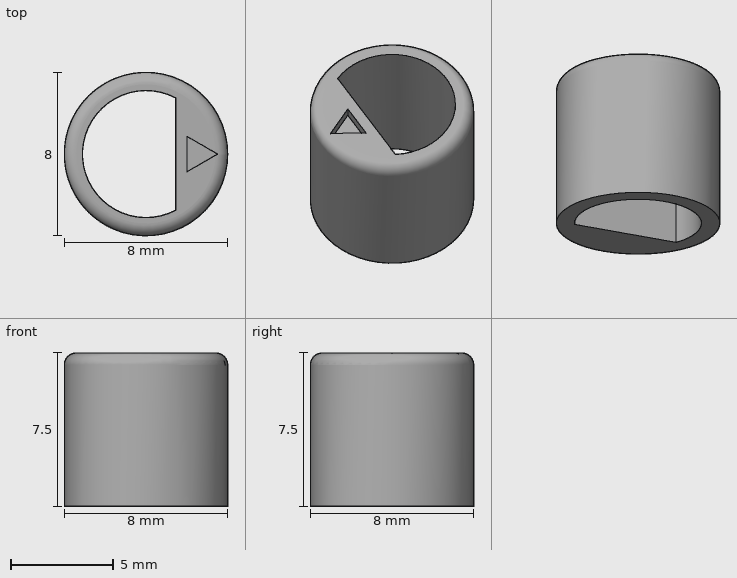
import cadquery as cq

OUTER_DIAMETER = 8.0
HEIGHT = 7.5
TOP_FILLET = 0.6

BORE_DIAMETER = 6.2
FLAT_X = 1.45

POINTER_CENTER_X = 2.5
POINTER_CIRCUMRADIUS = 1.0
POINTER_DEPTH = 0.5


def cap_body():
    """Cylinder with a rounded top rim."""
    body = cq.Workplane("XY").circle(OUTER_DIAMETER / 2).extrude(HEIGHT)
    return body.faces(">Z").edges().fillet(TOP_FILLET)


def d_bore():
    """Bore cylinder with everything beyond the flat removed."""
    bore = cq.Workplane("XY").circle(BORE_DIAMETER / 2).extrude(HEIGHT)
    beyond_flat = (
        cq.Workplane("XY")
        .center(FLAT_X, 0)
        .rect(BORE_DIAMETER, BORE_DIAMETER)
        .extrude(HEIGHT)
        .translate((BORE_DIAMETER / 2, 0, 0))
    )
    return bore.cut(beyond_flat)


def pointer_recess():
    """Triangular prism sunk into the top face with one corner toward +X."""
    return (
        cq.Workplane("XY", origin=(POINTER_CENTER_X, 0, HEIGHT - POINTER_DEPTH))
        .polygon(3, 2 * POINTER_CIRCUMRADIUS)
        .extrude(POINTER_DEPTH)
    )


result = cap_body().cut(d_bore()).cut(pointer_recess())